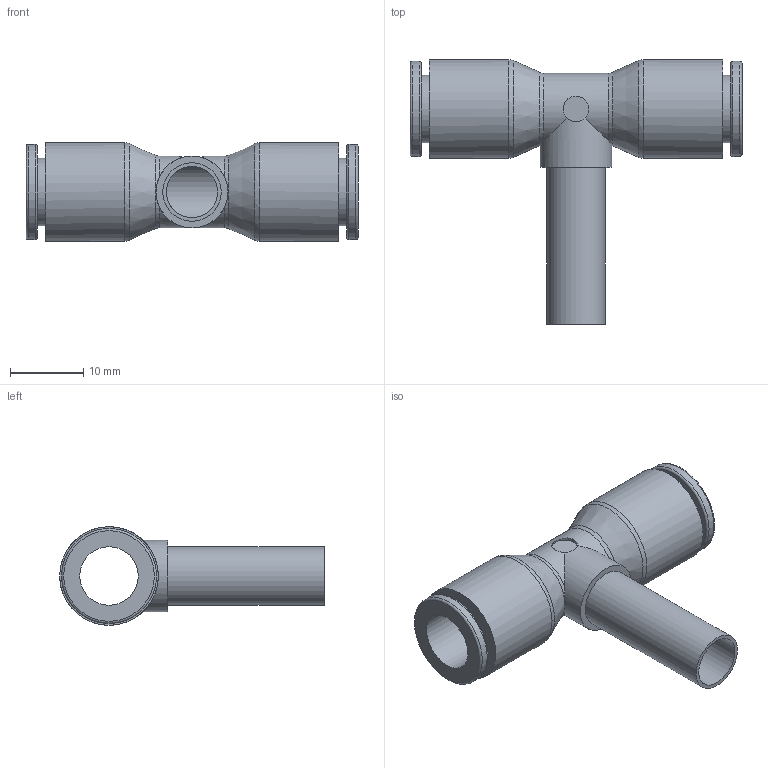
import cadquery as cq

run_half_length = 22.7
socket_end_x = 20.05
cone_outer_x = 8.85
cone_inner_x = 4.7
socket_radius = 13.5 / 2
waist_radius = 9.8 / 2
cone_blend_radius = 1.5

collar_radius = 13.0 / 2
collar_width = 1.55
collar_edge_radius = 0.3
collar_neck_radius = 9.2 / 2
collar_inner_x = run_half_length - collar_width

boss_radius = waist_radius
boss_length = 8.0
stem_radius = 8.0 / 2
overall_depth = 36.2
stem_end = overall_depth - socket_radius

run_bore_radius = 8.0 / 2
stem_bore_radius = 7.0 / 2

recess_radius = 3.5 / 2
recess_depth = 0.5
recess_floor_z = waist_radius - recess_depth


def branch_cylinder(radius, length):
    """Cylinder from the run axis out to Y = -length."""
    return cq.Workplane("XZ").circle(radius).extrude(length)


def make_half_run():
    """Waist, cone, socket and collar neck on the +X side, blended at the cone."""
    blended_body = (
        cq.Workplane("XY")
        .lineTo(0, waist_radius)
        .lineTo(cone_inner_x, waist_radius)
        .lineTo(cone_outer_x, socket_radius)
        .lineTo(socket_end_x, socket_radius)
        .lineTo(socket_end_x, 0)
        .close()
        .revolve(360, (0, 0, 0), (1, 0, 0))
    )
    blended_body = blended_body.faces("%CONE").edges("%CIRCLE").fillet(cone_blend_radius)
    neck = (
        cq.Workplane("YZ", origin=(socket_end_x, 0, 0))
        .circle(collar_neck_radius)
        .extrude(collar_inner_x - socket_end_x)
    )
    collar = (
        cq.Workplane("YZ", origin=(collar_inner_x, 0, 0))
        .circle(collar_radius)
        .extrude(collar_width)
        .edges()
        .fillet(collar_edge_radius)
    )
    return blended_body.union(neck).union(collar)


def make_branch():
    return branch_cylinder(boss_radius, boss_length).union(branch_cylinder(stem_radius, stem_end))


def make_recess():
    return cq.Workplane("XY", origin=(0, 0, recess_floor_z)).circle(recess_radius).extrude(recess_depth)


def make_bores():
    run_bore = (
        cq.Workplane("YZ", origin=(-run_half_length, 0, 0))
        .circle(run_bore_radius)
        .extrude(2 * run_half_length)
    )
    return run_bore.union(branch_cylinder(stem_bore_radius, stem_end))


half_run = make_half_run()
outside = half_run.union(half_run.mirror("YZ")).union(make_branch())
result = outside.cut(make_recess()).cut(make_bores())